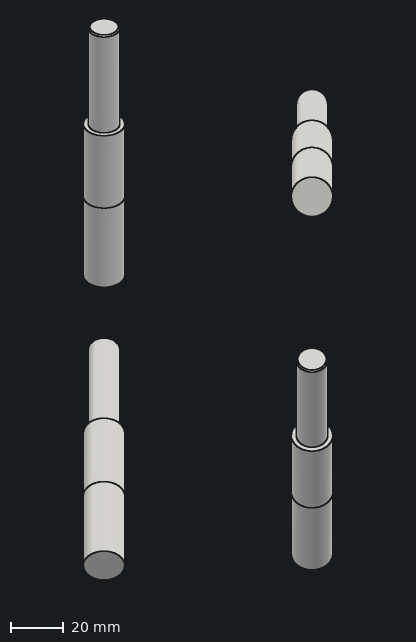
import cadquery as cq

total_length = 115.0
body_diameter = 15.8

base_length = 36.7

rod_diameter = 12.0
rod_length = 44.8
tip_chamfer = 0.6
collar_length = total_length - base_length - rod_length


def make_base():
    """Plain cylinder at the bottom of the assembly."""
    return cq.Workplane("XY").circle(body_diameter / 2).extrude(base_length)


def make_stepped_shaft():
    """Collar flush with the base, carrying a thinner rod with a chamfered tip."""
    collar = (
        cq.Workplane("XY")
        .workplane(offset=base_length)
        .circle(body_diameter / 2)
        .extrude(collar_length)
    )
    shaft = collar.faces(">Z").workplane().circle(rod_diameter / 2).extrude(rod_length)
    return shaft.faces(">Z").edges().chamfer(tip_chamfer)


base = make_base()
stepped_shaft = make_stepped_shaft()

result = cq.Compound.makeCompound([base.val(), stepped_shaft.val()])